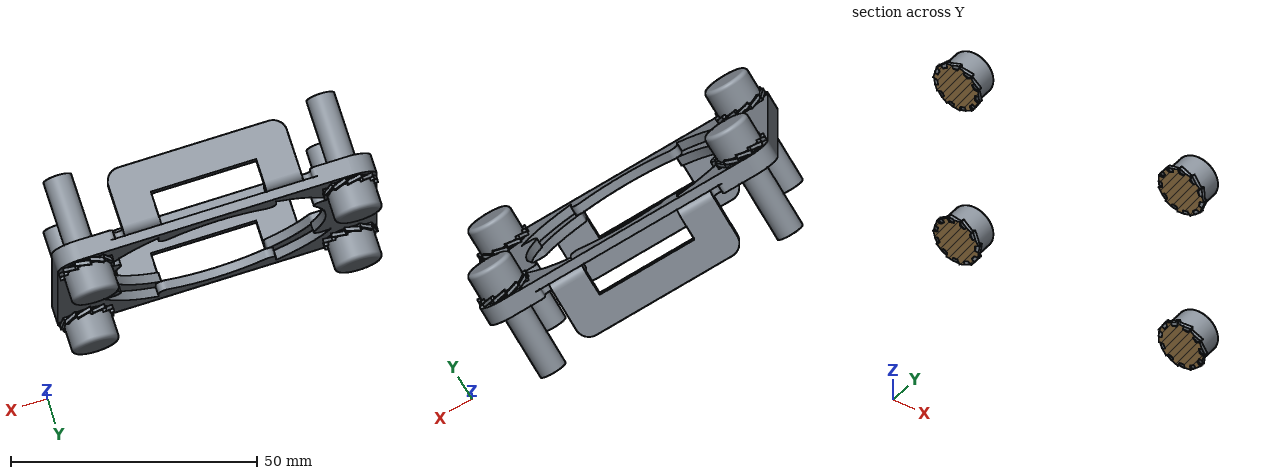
import cadquery as cq
import math

frame_length = 68.0
frame_height = 53.0
frame_thickness = 4.0
sheet_thickness = frame_thickness / 2
frame_corner_radius = 5.0
front_hole_radius = 23.7

window_half_width = 11.2
side_window_half_length = 26.65
window_corner_radius = 1.0

lug_half_width = 12.5
lug_hole_radius = 23.1
lug_corner_radius = 1.5
back_clearance_radius = 27.2

tab_half_width = 19.05
tab_reach = 12.05
tab_corner_radius = 3.0
tab_window_reach = 5.2
notch_width = 2.0
notch_depth = 3.4
notch_mouth_radius = 0.95

screw_x = 28.0
screw_z = 20.55
shank_radius = 3.0
shank_reach = 14.95
head_radius = 10.0 / 2
head_height = 7.0
head_top = frame_thickness + head_height
head_edge_radius = 0.9
washer_radius = 4.75
washer_height = 1.0

tooth_count = 11
tooth_inner_radius = 4.35
tooth_outer_radius = 5.6
tooth_width = 3.1
tooth_thickness = 0.8
tooth_rise = 0.7
first_tooth_angle = 67.0

half_height = frame_height / 2


def block(x_range, y_range, z_range):
    """Box given by its lower and upper limits along each axis."""
    limits = (x_range, y_range, z_range)
    size = [high - low for low, high in limits]
    return cq.Workplane("XY").box(*size, centered=False).translate([low for low, high in limits])


def rod(radius, y_start, y_end):
    """Cylinder along Y, centred on the Y axis."""
    return cq.Workplane("XZ", origin=(0, y_end, 0)).circle(radius).extrude(y_end - y_start)


def sheet(y_start):
    """Plain rounded rectangular sheet."""
    plate = block(
        (-frame_length / 2, frame_length / 2),
        (y_start, y_start + sheet_thickness),
        (-half_height, half_height),
    )
    return plate.edges("|Y").fillet(frame_corner_radius)


def crossed_bars(y_start, half_width, half_length, half_tall):
    """Horizontal and vertical bars of equal width, as two separate solids."""
    y_range = (y_start, y_start + sheet_thickness)
    width_range = (-half_width, half_width)
    horizontal = block((-half_length, half_length), y_range, width_range)
    vertical = block(width_range, y_range, (-half_tall, half_tall))
    return horizontal, vertical


def round_opening(opening, y_start, half_width, hole_radius, corner_radius):
    """Round the eight edges of an opening where its hole meets the sides of the windows or lugs."""
    y_middle = y_start + sheet_thickness / 2
    reach = math.sqrt(hole_radius**2 - half_width**2)
    corners = []
    for x, z in ((half_width, reach), (reach, half_width)):
        for x_sign in (-1, 1):
            for z_sign in (-1, 1):
                point = (x_sign * x, y_middle, z_sign * z)
                nearest = cq.selectors.NearestToPointSelector(point)
                corners.append(opening.edges("|Y").edges(nearest).val())
    return opening.newObject(corners).fillet(corner_radius)


def front_opening():
    """Central hole joined with the side windows and the windows that run out to the tabs."""
    side_windows, tab_windows = crossed_bars(0, window_half_width, side_window_half_length, half_height)
    side_windows = side_windows.edges("|Y").fillet(window_corner_radius)
    opening = rod(front_hole_radius, 0, sheet_thickness).union(side_windows).union(tab_windows)
    return round_opening(opening, 0, window_half_width, front_hole_radius, window_corner_radius)


def back_sheet():
    """Back sheet with four lugs that reach inward to the smaller hole."""
    y_start = sheet_thickness
    y_end = frame_thickness
    opening = rod(back_clearance_radius, y_start, y_end)
    for bar in crossed_bars(y_start, lug_half_width, frame_length / 2, half_height):
        opening = opening.cut(bar)
    opening = opening.union(rod(lug_hole_radius, y_start, y_end))
    opening = round_opening(opening, y_start, lug_half_width, lug_hole_radius, lug_corner_radius)
    return sheet(y_start).cut(opening)


def tab_clearance():
    """Cutter for the upper edge: a notch with a flared mouth at each end of the tab."""
    notch_end = tab_half_width + notch_width
    mouth_end = notch_end + notch_mouth_radius
    end_radius = notch_width / 2
    bottom = half_height - notch_depth
    straight_end = bottom + end_radius
    mouth_start = half_height - notch_mouth_radius
    arc_offset = notch_mouth_radius * (1 - math.sqrt(0.5))
    notch = (
        cq.Workplane("XZ", origin=(0, sheet_thickness, 0))
        .moveTo(tab_half_width, half_height)
        .lineTo(tab_half_width, straight_end)
        .threePointArc((tab_half_width + end_radius, bottom), (notch_end, straight_end))
        .lineTo(notch_end, mouth_start)
        .threePointArc((notch_end + arc_offset, half_height - arc_offset), (mouth_end, half_height))
        .close()
        .extrude(sheet_thickness)
    )
    return notch.union(notch.mirror("YZ"))


def tab():
    """Forward part of the upper tab with its two front corners rounded."""
    strip = block(
        (-tab_half_width, tab_half_width),
        (-tab_reach, 0),
        (half_height - sheet_thickness, half_height),
    )
    return strip.edges("|Z and <Y").fillet(tab_corner_radius)


def bend_relief():
    """Cutter that rounds the outside of the bend between the front sheet and the upper tab."""
    corner = block(
        (-tab_half_width, tab_half_width),
        (0, sheet_thickness),
        (half_height - sheet_thickness, half_height),
    )
    bend = (
        cq.Workplane("YZ", origin=(-tab_half_width, 0, 0))
        .center(0, half_height - sheet_thickness)
        .circle(sheet_thickness)
        .extrude(2 * tab_half_width)
    )
    return corner.cut(bend)


def tab_window():
    """Opening through the bend into the upper tab."""
    return block(
        (-window_half_width, window_half_width),
        (-tab_window_reach, sheet_thickness),
        (half_height - sheet_thickness, half_height),
    )


def front_sheet():
    """Front sheet with its windows and both bent tabs."""
    plate = sheet(0).cut(front_opening())
    added = tab()
    removed = tab_clearance().union(bend_relief()).union(tab_window())
    for tool in (added, added.mirror("XY")):
        plate = plate.union(tool)
    for tool in (removed, removed.mirror("XY")):
        plate = plate.cut(tool)
    return plate


def washer_tooth():
    """Slanted tooth on the +Z side of the washer, high at its +X end."""
    half_width = tooth_width / 2
    low = frame_thickness
    high = low + tooth_rise
    return (
        cq.Workplane("XY", origin=(0, 0, tooth_inner_radius))
        .polyline([
            (-half_width, low),
            (half_width, high),
            (half_width, high + tooth_thickness),
            (-half_width, low + tooth_thickness),
        ])
        .close()
        .extrude(tooth_outer_radius - tooth_inner_radius)
    )


def screw():
    """Screw and lock washer centred on the Y axis."""
    head_base = frame_thickness + washer_height
    body = rod(head_radius, head_base, head_top).faces(">Y").edges().fillet(head_edge_radius)
    body = body.union(rod(washer_radius, frame_thickness, head_base))
    body = body.union(rod(shank_radius, -shank_reach, head_base))
    for index in range(tooth_count):
        angle = first_tooth_angle + index * 360 / tooth_count
        tooth = washer_tooth().rotate((0, 0, 0), (0, 1, 0), 90 - angle)
        body = body.union(tooth)
    return body


result = front_sheet().union(back_sheet())

upper_left = screw().translate((-screw_x, 0, screw_z))
upper_pair = upper_left.union(upper_left.mirror("YZ"))
result = result.union(upper_pair).union(upper_pair.mirror("XY"))